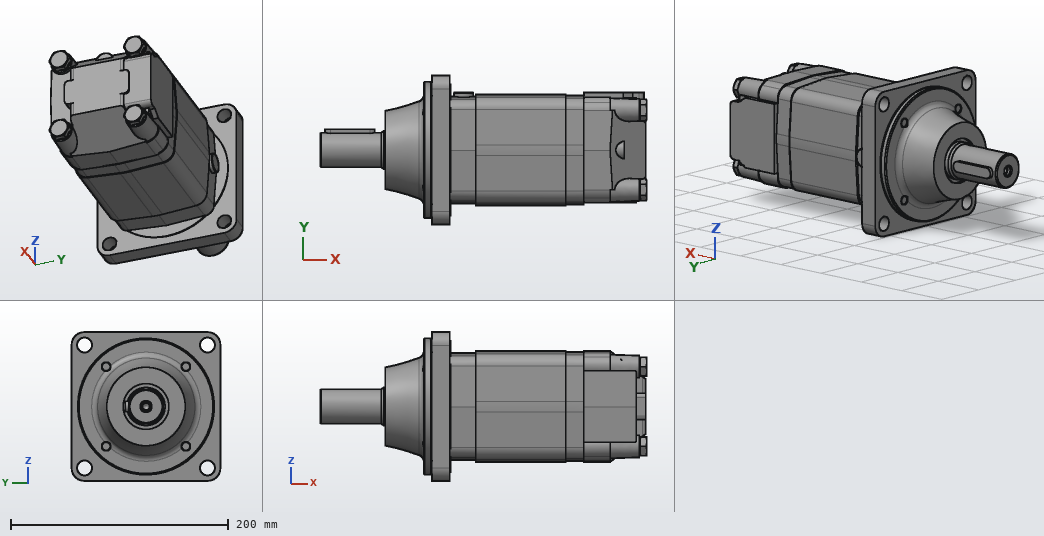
import cadquery as cq
import math


SHOULDER_X = 56.0
NOSE_X = 59.7
CONE_END_X = 90.5
PILOT_X = 95.0
FLANGE_X = 102.5
FLANGE_BACK_X = 119.0
RIM_BACK_X = 120.0
GEAR_X = 142.8
PLATE_X = 225.5
COVER_X = 242.0
COVER_SLOPE_X = 266.0
WALL_END_X = 290.0
TOWER_END_X = 293.0
COVER_END_X = 299.0
BOLT_END_X = 300.0

BOLT_OFFSET = 36.5
BOLT_CENTRES = [(y, z) for y in (-BOLT_OFFSET, BOLT_OFFSET) for z in (-BOLT_OFFSET, BOLT_OFFSET)]
SHANK_DIA = 10.0
THREAD_DIA = 8.5
BOLT_TIP_INSET = 0.5
BOLT_TIP_CHAMFER = 0.45
WASHER_FACE_DIA = 16.0
WASHER_FACE_HEIGHT = 1.0
HEAD_ACROSS_FLATS = 17.5
HEAD_CHAMFER_DIA = 16.8
HEAD_CHAMFER_LENGTH = 1.0

SIDE_TILT = math.radians(4.1)
NECK_CORNER_RADIUS = 10.0
GEAR_CORNER_RADIUS = 12.0
PLATE_CORNER_RADIUS = 11.0
RIDGE_HALF_WIDTH = 4.8

SHAFT_RADIUS = 32.0 / 2
SHAFT_CHAMFER = 1.2
SHOULDER_RADIUS = 35.0 / 2
SHOULDER_CHAMFER_LENGTH = 2.5
CENTRE_DRILL_DIA = 6.5
CENTRE_DRILL_DEPTH = 21.0
CENTRE_BORE_DIA = 8.5
CENTRE_BORE_DEPTH = 4.5
CENTRE_SINK_DIA = 10.8
DRILL_POINT_ANGLE = math.radians(59)

KEY_WIDTH = 10.0
KEY_START_X = 4.5
KEY_END_X = 50.5
KEY_TOP_Y = 19.2
KEY_HEIGHT = 8.0

NOSE_RADIUS = 36.0
CONE_MID_X = 80.0
CONE_MID_RADIUS = 41.0
CONE_END_RADIUS = 44.7
FOOT_MID_X = 93.5
FOOT_MID_RADIUS = 46.5
CONE_FOOT_RADIUS = 50.0
SEAL_RECESS_RADIUS = 21.0
SEAL_RECESS_DEPTH = 3.0
PILOT_RADIUS = 62.7
PILOT_CHAMFER = 1.2
PILOT_UNDERCUT_WIDTH = 1.2
PILOT_UNDERCUT_DEPTH = 1.0
FLANGE_SIZE = 136.8
FLANGE_CORNER_RADIUS = 12.0
MOUNT_HOLE_OFFSET = 56.5
MOUNT_HOLE_DIA = 13.5
RIM_RADIUS = 60.3
DRAIN_X = 131.7
DRAIN_DIA = 18.0
DRAIN_TOP_Y = 52.8
DRAIN_CHAMFER = 0.5

COVER_ROOF_Z = 51.0
COVER_WALL_Y = 48.5
CORNER_ROOF_POINT = (36.5, 49.2)
CORNER_MID_POINT = (43.8, 45.5)
CORNER_WALL_POINT = (47.7, 33.0)
CORNER_RADIUS = 12.0
CORNER_LOW_ANGLE = math.radians(17)
CORNER_HIGH_ANGLE = math.radians(72)
COVER_SLOPE_ANGLE = math.radians(38.2)
TOWER_START_RADIUS = 11.0
TOWER_END_RADIUS = 10.2
CORE_HALF_WIDTH = 26.7
CORE_EDGE_RADIUS = 3.5
RIB_HALF_WIDTH = 12.3
RIB_EDGE_RADIUS = 3.5
RIB_REACH_Y = 31.5
PORT_PAD_Y = 52.8
PORT_PAD_HALF_HEIGHT = 33.0
PORT_PAD_TAPER_START_X = 278.5
PORT_PAD_TAPER_END_X = 287.0
PORT_PAD_END_HALF_HEIGHT = 27.5
PORT_PAD_END_X = 297.3
PORT_PAD_CORNER_RADIUS = 4.8
VALVE_BOSS_DIA = 17.5
VALVE_BOSS_TOP_Z = 46.8
VALVE_BOSS_END_X = 279.0


def cross_section(x):
    """Workplane across the motor at x: local X is Y, local Y is Z, and it extrudes towards +X."""
    return cq.Workplane("YZ", origin=(x, 0, 0))


def rod(x_start, x_end, diameter, centres):
    return cross_section(x_start).pushPoints(centres).circle(diameter / 2).extrude(x_end - x_start)


def revolved(profile):
    """Turn a closed outline of (x, radius) about the X axis."""
    return profile.close().revolve(360, (0, 0, 0), (1, 0, 0))


def turned(point, quarter):
    """A point of the cross-section after some quarter turns about the motor axis."""
    y, z = point
    for _ in range(quarter):
        y, z = -z, y
    return (y, z)


def ridged_block(x_start, x_end, corner_radius, ridge_half_width):
    """Square block whose sides rise to a ridge and whose corners are arcs about the bolts.

    The ridge is rounded over its width, or a sharp crease when that width is zero.
    """
    near = BOLT_OFFSET + corner_radius * math.sin(SIDE_TILT)
    far = BOLT_OFFSET + corner_radius * math.cos(SIDE_TILT)
    diagonal = BOLT_OFFSET + corner_radius / math.sqrt(2)
    ridge_edge = far + (near - ridge_half_width) * math.tan(SIDE_TILT)
    ridge_top = ridge_edge + ridge_half_width * math.tan(SIDE_TILT / 2)
    outline = cross_section(x_start).moveTo(ridge_edge, ridge_half_width)
    for quarter in range(4):
        outline = outline.lineTo(*turned((far, near), quarter))
        outline = outline.threePointArc(
            turned((diagonal, diagonal), quarter), turned((near, far), quarter)
        )
        next_ridge_end = turned((ridge_edge, ridge_half_width), quarter + 1)
        if ridge_half_width > 0:
            outline = outline.lineTo(*turned((ridge_half_width, ridge_edge), quarter))
            outline = outline.threePointArc(turned((0, ridge_top), quarter), next_ridge_end)
        else:
            outline = outline.lineTo(*next_ridge_end)
    return outline.close().extrude(x_end - x_start)


def make_key():
    """Round-ended key lying along the +Y side of the shaft."""
    length = KEY_END_X - KEY_START_X
    middle_x = (KEY_START_X + KEY_END_X) / 2
    seat = cq.Workplane("XZ", origin=(middle_x, KEY_TOP_Y, 0))
    return seat.slot2D(length, KEY_WIDTH).extrude(KEY_HEIGHT)


def make_shaft(key):
    """Shaft with a stepped centre hole in its tip and a seat cut to the key's shape."""
    blank = revolved(
        cq.Workplane("XY")
        .moveTo(0, 0)
        .lineTo(0, SHAFT_RADIUS - SHAFT_CHAMFER)
        .lineTo(SHAFT_CHAMFER, SHAFT_RADIUS)
        .lineTo(SHOULDER_X, SHAFT_RADIUS)
        .lineTo(SHOULDER_X + SHOULDER_CHAMFER_LENGTH, SHOULDER_RADIUS)
        .lineTo(GEAR_X, SHOULDER_RADIUS)
        .lineTo(GEAR_X, 0)
    )
    sink_depth = (CENTRE_SINK_DIA - CENTRE_BORE_DIA) / 2
    point_depth = CENTRE_DRILL_DIA / 2 / math.tan(DRILL_POINT_ANGLE)
    centre_hole = revolved(
        cq.Workplane("XY")
        .moveTo(0, 0)
        .lineTo(0, CENTRE_SINK_DIA / 2)
        .lineTo(sink_depth, CENTRE_BORE_DIA / 2)
        .lineTo(CENTRE_BORE_DEPTH, CENTRE_BORE_DIA / 2)
        .lineTo(CENTRE_BORE_DEPTH, CENTRE_DRILL_DIA / 2)
        .lineTo(CENTRE_DRILL_DEPTH, CENTRE_DRILL_DIA / 2)
        .lineTo(CENTRE_DRILL_DEPTH + point_depth, 0)
    )
    return blank.cut(centre_hole).cut(key)


def make_housing():
    """Conical nose, pilot, square flange and neck, with the drain boss on the +Y side."""
    undercut_radius = PILOT_RADIUS - PILOT_UNDERCUT_DEPTH
    nose = revolved(
        cq.Workplane("XY")
        .moveTo(NOSE_X, 0)
        .lineTo(NOSE_X, NOSE_RADIUS)
        .threePointArc((CONE_MID_X, CONE_MID_RADIUS), (CONE_END_X, CONE_END_RADIUS))
        .threePointArc((FOOT_MID_X, FOOT_MID_RADIUS), (PILOT_X, CONE_FOOT_RADIUS))
        .lineTo(PILOT_X, PILOT_RADIUS - PILOT_CHAMFER)
        .lineTo(PILOT_X + PILOT_CHAMFER, PILOT_RADIUS)
        .lineTo(FLANGE_X - PILOT_UNDERCUT_WIDTH, PILOT_RADIUS)
        .lineTo(FLANGE_X - PILOT_UNDERCUT_WIDTH, undercut_radius)
        .lineTo(FLANGE_X, undercut_radius)
        .lineTo(FLANGE_X, 0)
    )
    flange = (
        cross_section(FLANGE_X)
        .rect(FLANGE_SIZE, FLANGE_SIZE)
        .extrude(FLANGE_BACK_X - FLANGE_X)
        .edges("|X")
        .fillet(FLANGE_CORNER_RADIUS)
        .faces("<X")
        .workplane(origin=(FLANGE_X, 0, 0))
        .rect(2 * MOUNT_HOLE_OFFSET, 2 * MOUNT_HOLE_OFFSET, forConstruction=True)
        .vertices()
        .hole(MOUNT_HOLE_DIA)
    )
    rim = rod(FLANGE_BACK_X, RIM_BACK_X, 2 * RIM_RADIUS, [(0, 0)])
    neck = ridged_block(FLANGE_BACK_X, GEAR_X, NECK_CORNER_RADIUS, 0)
    drain_boss = (
        cq.Workplane("XZ", origin=(DRAIN_X, DRAIN_TOP_Y, 0))
        .circle(DRAIN_DIA / 2)
        .extrude(DRAIN_TOP_Y - BOLT_OFFSET)
        .faces(">Y")
        .chamfer(DRAIN_CHAMFER)
    )
    seal_recess = rod(NOSE_X, NOSE_X + SEAL_RECESS_DEPTH, 2 * SEAL_RECESS_RADIUS, [(0, 0)])
    shaft_bore = rod(NOSE_X, GEAR_X, 2 * SHOULDER_RADIUS, [(0, 0)])
    bolt_holes = rod(CONE_END_X, GEAR_X, THREAD_DIA, BOLT_CENTRES)
    housing = nose.union(flange).union(rim).union(neck).union(drain_boss)
    return housing.cut(seal_recess).cut(shaft_bore).cut(bolt_holes)


def drilled(section, x_start, x_end):
    """The section with the four bolt holes cut through it."""
    return section.cut(rod(x_start, x_end, SHANK_DIA, BOLT_CENTRES))


def make_stack_section(x_start, x_end, corner_radius):
    block = ridged_block(x_start, x_end, corner_radius, RIDGE_HALF_WIDTH)
    return drilled(block, x_start, x_end)


def point_about_bolt(radius, angle):
    return (BOLT_OFFSET + radius * math.cos(angle), BOLT_OFFSET + radius * math.sin(angle))


def cover_block():
    """Cover section with tilted roof and walls, two arcs round each corner."""
    quarter = (
        cross_section(COVER_X)
        .moveTo(0, 0)
        .lineTo(COVER_WALL_Y, 0)
        .lineTo(*CORNER_WALL_POINT)
        .threePointArc(point_about_bolt(CORNER_RADIUS, CORNER_LOW_ANGLE), CORNER_MID_POINT)
        .threePointArc(point_about_bolt(CORNER_RADIUS, CORNER_HIGH_ANGLE), CORNER_ROOF_POINT)
        .lineTo(0, COVER_ROOF_Z)
        .close()
        .extrude(COVER_END_X - COVER_X)
    )
    half = quarter.union(quarter.mirror("XZ"))
    return half.union(half.mirror("XY"))


def sloped_side():
    """Side shape of the cover: level up to the slope line, then falling to the end face."""
    end_z = COVER_ROOF_Z - math.tan(COVER_SLOPE_ANGLE) * (COVER_END_X - COVER_SLOPE_X)
    return (
        cq.Workplane("XZ")
        .moveTo(COVER_X, -COVER_ROOF_Z)
        .lineTo(COVER_SLOPE_X, -COVER_ROOF_Z)
        .lineTo(COVER_END_X, -end_z)
        .lineTo(COVER_END_X, end_z)
        .lineTo(COVER_SLOPE_X, COVER_ROOF_Z)
        .lineTo(COVER_X, COVER_ROOF_Z)
        .close()
        .extrude(COVER_WALL_Y, both=True)
    )


def cover_bar(x_end, half_width, half_height):
    """Rectangular bar along the motor axis from the cover's joint face to x_end."""
    return cross_section(COVER_X).rect(2 * half_width, 2 * half_height).extrude(x_end - COVER_X)


def cover_envelope():
    """Space that the cover block fills: full at the joint, stepping in towards the end face."""
    joint = cover_bar(COVER_SLOPE_X, COVER_WALL_Y, COVER_ROOF_Z)
    walls = cover_bar(WALL_END_X, COVER_WALL_Y, CORNER_WALL_POINT[1])
    roof = cover_bar(WALL_END_X, CORNER_ROOF_POINT[0], COVER_ROOF_Z)
    core = cover_bar(COVER_END_X, CORE_HALF_WIDTH, COVER_ROOF_Z)
    core = core.edges(">X and |Z").fillet(CORE_EDGE_RADIUS)
    rib = cover_bar(COVER_END_X, RIB_REACH_Y, RIB_HALF_WIDTH)
    rib = rib.edges("|X").fillet(RIB_EDGE_RADIUS)
    return joint.union(walls).union(roof).union(core).union(rib)


def bolt_tower(y, z):
    return (
        cross_section(COVER_SLOPE_X)
        .center(y, z)
        .circle(TOWER_START_RADIUS)
        .workplane(offset=TOWER_END_X - COVER_SLOPE_X)
        .circle(TOWER_END_RADIUS)
        .loft()
    )


def port_pad():
    """Raised pad on the +Y side that narrows towards the end face."""
    return (
        cq.Workplane("XZ")
        .moveTo(COVER_X, -PORT_PAD_HALF_HEIGHT)
        .lineTo(PORT_PAD_TAPER_START_X, -PORT_PAD_HALF_HEIGHT)
        .lineTo(PORT_PAD_TAPER_END_X, -PORT_PAD_END_HALF_HEIGHT)
        .lineTo(PORT_PAD_END_X, -PORT_PAD_END_HALF_HEIGHT)
        .lineTo(PORT_PAD_END_X, PORT_PAD_END_HALF_HEIGHT)
        .lineTo(PORT_PAD_TAPER_END_X, PORT_PAD_END_HALF_HEIGHT)
        .lineTo(PORT_PAD_TAPER_START_X, PORT_PAD_HALF_HEIGHT)
        .lineTo(COVER_X, PORT_PAD_HALF_HEIGHT)
        .close()
        .extrude(-PORT_PAD_Y)
        .edges(">X and |Y")
        .fillet(PORT_PAD_CORNER_RADIUS)
    )


def make_cover():
    """Sloped cover block with a tower round each bolt, a port pad and a valve boss."""
    cover = cover_block().intersect(sloped_side()).intersect(cover_envelope())
    for y, z in BOLT_CENTRES:
        cover = cover.union(bolt_tower(y, z))
    valve_boss_z = VALVE_BOSS_TOP_Z - VALVE_BOSS_DIA / 2
    valve_boss = rod(COVER_X, VALVE_BOSS_END_X, VALVE_BOSS_DIA, [(0, valve_boss_z)])
    cover = cover.union(port_pad()).union(valve_boss)
    return drilled(cover, COVER_X, TOWER_END_X)


def hex_head(y, z):
    """Hexagon head whose outer corners are turned down to a circle."""
    head_x = TOWER_END_X + WASHER_FACE_HEIGHT
    across_corners = HEAD_ACROSS_FLATS / math.cos(math.pi / 6)
    chamfer_x = BOLT_END_X - HEAD_CHAMFER_LENGTH
    hexagon = cross_section(head_x).polygon(6, across_corners).extrude(BOLT_END_X - head_x)
    turned_shape = revolved(
        cq.Workplane("XY")
        .moveTo(head_x, 0)
        .lineTo(head_x, across_corners / 2)
        .lineTo(chamfer_x, across_corners / 2)
        .lineTo(BOLT_END_X, HEAD_CHAMFER_DIA / 2)
        .lineTo(BOLT_END_X, 0)
    )
    return hexagon.intersect(turned_shape).translate((0, y, z))


def make_bolt(y, z):
    """Bolt whose thinner threaded end fills the tapped hole through the housing."""
    tip_x = PILOT_X + BOLT_TIP_INSET
    head_x = TOWER_END_X + WASHER_FACE_HEIGHT
    thread = rod(tip_x, GEAR_X, THREAD_DIA, [(y, z)]).faces("<X").chamfer(BOLT_TIP_CHAMFER)
    shank = rod(GEAR_X, TOWER_END_X, SHANK_DIA, [(y, z)])
    washer_face = rod(TOWER_END_X, head_x, WASHER_FACE_DIA, [(y, z)])
    return thread.union(shank).union(washer_face).union(hex_head(y, z))


key = make_key()
shaft = make_shaft(key)
housing = make_housing()
gear_ring = make_stack_section(GEAR_X, PLATE_X, GEAR_CORNER_RADIUS)
channel_plate = make_stack_section(PLATE_X, COVER_X, PLATE_CORNER_RADIUS)
end_cover = make_cover()
bolts = [make_bolt(y, z) for y, z in BOLT_CENTRES]

single_bodies = [key, shaft, housing, gear_ring, channel_plate, end_cover]
result = cq.Compound.makeCompound([body.solids().val() for body in single_bodies + bolts])